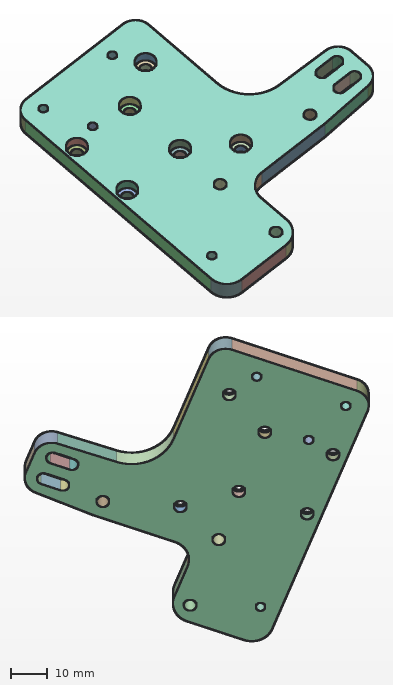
import cadquery as cq

length = 84.7
depth = 80.6
thickness = 6.35
left_shoulder_y = 46.6
right_shoulder_y = 28.7
arm_left_x = 44.1
arm_right_x = 62.4
arm_tip_left_x = 44.8
arm_tip_right_x = 61.0
taper_start_y = 58.6

small_corner_radius = 5.0
large_corner_radius = 6.0
left_inner_radius = 12.3

small_hole_diameter = 2.5
clearance_diameter = 3.5
counterbore_diameter = 6.0
counterbore_depth = 3.4

small_hole_points = [(5.6, 32.25), (5.6, 6.2), (19.2, 11.85), (73.2, 5.5)]

wing_hole_y = 23.7
arm_hole_x = 57.4
clearance_points = [(arm_hole_x, 57.65), (arm_hole_x, wing_hole_y), (79.6, wing_hole_y)]

square_x = 21.25
square_y = 4.0
square_pitch = 20.0
pair_y = 37.25
counterbore_points = [
    (square_x + i * square_pitch, square_y + j * square_pitch)
    for i in range(2)
    for j in range(2)
] + [(13.55, pair_y), (51.4, pair_y)]

slot_width = 3.5
slot_length = 9.15
slot_y = 72.55
slot_xs = [49.4, 56.5]


def fillet_corner(body, x, y, radius):
    """Round the vertical edge nearest to the outline corner (x, y)."""
    edge = cq.selectors.NearestToPointSelector((x, y, thickness / 2))
    return body.edges("|Z").edges(edge).fillet(radius)


def make_plate():
    body = (
        cq.Workplane("XY")
        .polyline([
            (0, 0),
            (length, 0),
            (length, right_shoulder_y),
            (arm_right_x, right_shoulder_y),
            (arm_right_x, taper_start_y),
            (arm_tip_right_x, depth),
            (arm_tip_left_x, depth),
            (arm_left_x, left_shoulder_y),
            (0, left_shoulder_y),
        ])
        .close()
        .extrude(thickness)
    )
    rounded_corners = [
        (0, 0, small_corner_radius),
        (length, 0, large_corner_radius),
        (length, right_shoulder_y, large_corner_radius),
        (arm_right_x, right_shoulder_y, large_corner_radius),
        (arm_tip_right_x, depth, small_corner_radius),
        (arm_tip_left_x, depth, small_corner_radius),
        (arm_left_x, left_shoulder_y, left_inner_radius),
        (0, left_shoulder_y, small_corner_radius),
    ]
    for x, y, radius in rounded_corners:
        body = fillet_corner(body, x, y, radius)
    return body


def top_plane(body):
    return body.faces(">Z").workplane(origin=(0, 0, thickness))


def cut_holes(body):
    body = top_plane(body).pushPoints(small_hole_points).hole(small_hole_diameter)
    body = top_plane(body).pushPoints(clearance_points).hole(clearance_diameter)
    return (
        top_plane(body)
        .pushPoints(counterbore_points)
        .cboreHole(clearance_diameter, counterbore_diameter, counterbore_depth)
    )


def cut_slots(body):
    return (
        top_plane(body)
        .pushPoints([(x, slot_y) for x in slot_xs])
        .slot2D(slot_length, slot_width, angle=90)
        .cutThruAll()
    )


result = cut_slots(cut_holes(make_plate()))